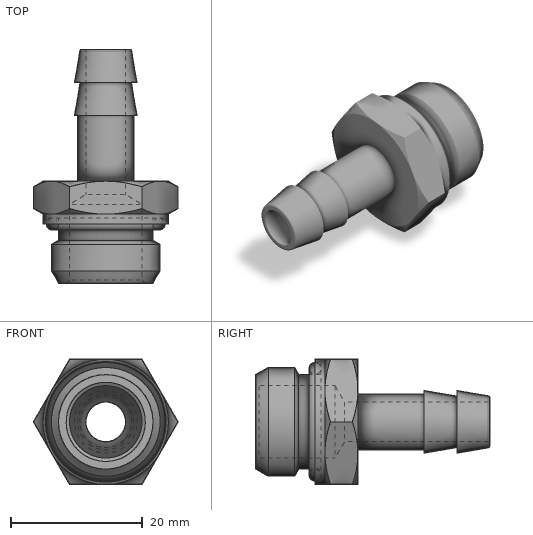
import cadquery as cq
import math


thread_radius = 8.25
spigot_length = 9.0
end_chamfer_length = 1.9
end_radius = thread_radius - end_chamfer_length * math.tan(math.radians(30))
relief_radius = 7.2
thread_length = 5.9
thread_start = thread_length - spigot_length
thread_run_in = 0.6

across_flats = 19.0
flat_radius = across_flats / 2
corner_radius = flat_radius / math.cos(math.radians(30))
collar_length = 1.5
hex_length = 5.0
hex_top = collar_length + hex_length
hex_chamfer_length = (corner_radius - flat_radius) * math.tan(math.radians(30))

stem_length = 20.0
tip = hex_top + stem_length
stem_radius = 4.25
barb_count = 2
barb_length = 5.0
barb_large_radius = 4.75
barb_small_radius = 3.9
tip_rounding = 0.3

hole_radius = 3.0
bore_radius = 5.5
bore_mouth_radius = 6.0
bore_depth = 12.0
drill_point_angle = 118.0
drill_point_length = (bore_radius - hole_radius) / math.tan(math.radians(drill_point_angle / 2))

seal_section_radius = 0.9
seal_center_radius = relief_radius + seal_section_radius
groove_depth = seal_section_radius
groove_mouth_radius = 9.15
groove_wall_angle = 8.0
groove_floor_radius = groove_mouth_radius - groove_depth * math.tan(math.radians(groove_wall_angle))

section_plane = cq.Plane(origin=(0, 0, 0), xDir=(0, 0, 1), normal=(-1, 0, 0))


def revolve_about_y(points):
    """Turn a closed outline of (radius, y) points a full turn about the Y axis."""
    outline = cq.Workplane(section_plane).polyline(points).close()
    return outline.revolve(360, (0, 0, 0), (0, 1, 0))


def make_spigot_and_collar():
    points = [
        (0, -spigot_length),
        (end_radius, -spigot_length),
        (thread_radius, -spigot_length + end_chamfer_length),
        (thread_radius, thread_start),
        (relief_radius, thread_start + thread_run_in),
        (relief_radius, groove_depth),
        (groove_floor_radius, groove_depth),
        (groove_mouth_radius, 0),
        (flat_radius, 0),
        (flat_radius, collar_length),
        (0, collar_length),
    ]
    return revolve_about_y(points)


def make_hexagon():
    prism = (
        cq.Workplane("XZ", origin=(0, hex_top, 0))
        .polygon(6, 2 * corner_radius)
        .extrude(hex_length)
    )
    points = [
        (0, collar_length),
        (flat_radius, collar_length),
        (corner_radius, collar_length + hex_chamfer_length),
        (corner_radius, hex_top - hex_chamfer_length),
        (flat_radius, hex_top),
        (0, hex_top),
    ]
    return prism.intersect(revolve_about_y(points))


def make_hose_stem():
    barbs_start = tip - barb_count * barb_length
    points = [(0, hex_top), (stem_radius, hex_top), (stem_radius, barbs_start)]
    for index in range(barb_count):
        barb_start = barbs_start + index * barb_length
        points.append((barb_large_radius, barb_start))
        points.append((barb_small_radius, barb_start + barb_length))
    points.append((0, tip))
    stem = revolve_about_y(points)
    return stem.faces(">Y").edges().fillet(tip_rounding)


def make_bore():
    mouth_chamfer = bore_mouth_radius - bore_radius
    bore_end = bore_depth - spigot_length
    points = [
        (0, -spigot_length),
        (bore_mouth_radius, -spigot_length),
        (bore_radius, -spigot_length + mouth_chamfer),
        (bore_radius, bore_end),
        (hole_radius, bore_end + drill_point_length),
        (hole_radius, tip),
        (0, tip),
    ]
    return revolve_about_y(points)


def make_fitting():
    blank = make_spigot_and_collar().union(make_hexagon()).union(make_hose_stem())
    return blank.cut(make_bore())


def make_seal_ring():
    section = cq.Workplane(section_plane).center(seal_center_radius, 0).circle(seal_section_radius)
    return section.revolve(360, (-seal_center_radius, 0, 0), (-seal_center_radius, 1, 0))


fitting = make_fitting()
seal_ring = make_seal_ring()
result = cq.Compound.makeCompound([fitting.val(), seal_ring.val()])